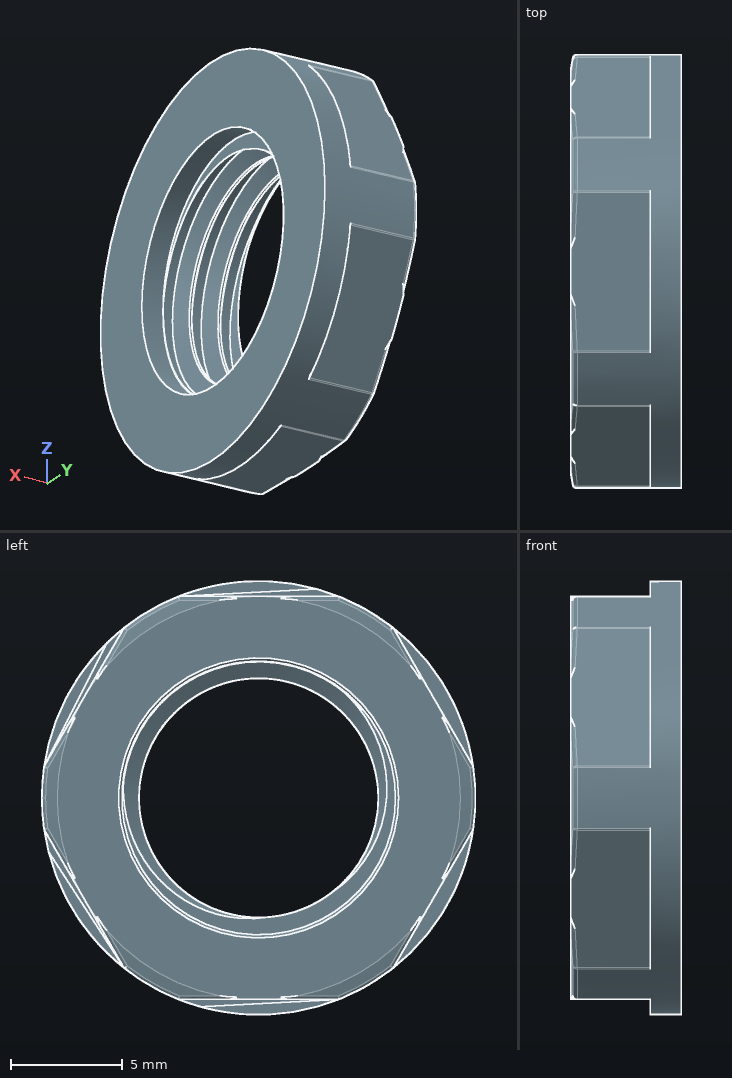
import cadquery as cq
import math

FLANGE_DIAMETER = 19.37
LENGTH = 4.95
FLANGE_THICKNESS = 1.4
BODY_LENGTH = LENGTH - FLANGE_THICKNESS
RADIUS = FLANGE_DIAMETER / 2

FLAT_COUNT = 6
ACROSS_FLATS = 18.0
CONE_ANGLE = 10.0
EDGE_FILLET = 0.2

FADE_START = 1.67
FADE_END = 1.0
FADE_DEPTH = 0.25

LEAD_IN_MOUTH_DIAMETER = 12.5
LEAD_IN_FLOOR_DIAMETER = 12.22
LEAD_IN_DEPTH = 0.15

BORE_SEAM_TURN = 180.0

EXIT_RECESS_DIAMETER = 12.22
EXIT_RECESS_DEPTH = 1.1

THREAD_PITCH = 1.5
THREAD_MINOR_DIAMETER = 10.68
THREAD_MAJOR_DIAMETER = 12.16
THREAD_CREST_WIDTH = 0.14
THREAD_HALF_ANGLE = 30.0
THREAD_START = LEAD_IN_DEPTH - 1.19 * THREAD_PITCH
THREAD_END = LENGTH + THREAD_PITCH
THREAD_START_TURN = 90.0
GROOVE_OVERLAP = 0.05

CONE_SLOPE = math.tan(math.radians(CONE_ANGLE))
CONE_DEPTH = (RADIUS - ACROSS_FLATS / 2) * CONE_SLOPE
CONE_TIP = CONE_DEPTH - RADIUS * CONE_SLOPE


def make_blank():
    """Round bar with a cone that runs on past the end face to its tip."""
    return (
        cq.Workplane("XY")
        .moveTo(CONE_TIP, 0)
        .lineTo(CONE_DEPTH, RADIUS)
        .lineTo(LENGTH, RADIUS)
        .lineTo(LENGTH, 0)
        .close()
        .revolve(360, (0, 0, 0), (1, 0, 0))
    )


def make_flats_cutter():
    """Everything outside the hexagon, from the cone tip back to the flange."""
    across_corners = ACROSS_FLATS / math.cos(math.pi / FLAT_COUNT)
    return (
        cq.Workplane("YZ")
        .workplane(offset=CONE_TIP)
        .circle(FLANGE_DIAMETER)
        .polygon(FLAT_COUNT, across_corners)
        .extrude(BODY_LENGTH - CONE_TIP)
    )


def round_edges(nut):
    """Round the cone's rim and the edges of the flats, leaving the flange sharp."""
    front_zone = cq.selectors.BoxSelector(
        (CONE_TIP, -FLANGE_DIAMETER, -FLANGE_DIAMETER),
        (BODY_LENGTH - EDGE_FILLET, FLANGE_DIAMETER, FLANGE_DIAMETER),
    )
    return nut.edges(front_zone).fillet(EDGE_FILLET)


def make_flat_centres():
    """Wedges at the middle of each flat, where the front edge stays sharp."""
    wedge = (
        cq.Workplane("XY")
        .moveTo(0, -FADE_END)
        .lineTo(FADE_DEPTH, -FADE_START)
        .lineTo(FADE_DEPTH, FADE_START)
        .lineTo(0, FADE_END)
        .close()
        .extrude(RADIUS)
    )
    wedges = wedge
    for index in range(1, FLAT_COUNT):
        turned = wedge.rotate((0, 0, 0), (1, 0, 0), index * 360 / FLAT_COUNT)
        wedges = wedges.union(turned)
    return wedges


def make_outside():
    """Flanged hexagonal nut without its bore, cut off square at the end face."""
    sharp = make_blank().cut(make_flats_cutter())
    sharp_centres = sharp.intersect(make_flat_centres())
    end_cut = cq.Workplane("YZ").circle(FLANGE_DIAMETER).extrude(-FLANGE_DIAMETER)
    return round_edges(sharp).union(sharp_centres).cut(end_cut)


def make_bore():
    """Through bore with a tapered, flat-floored lead-in and an exit recess."""
    minor_radius = THREAD_MINOR_DIAMETER / 2
    exit_radius = EXIT_RECESS_DIAMETER / 2
    exit_start = LENGTH - EXIT_RECESS_DEPTH
    bore = (
        cq.Workplane("XY")
        .moveTo(0, 0)
        .lineTo(0, LEAD_IN_MOUTH_DIAMETER / 2)
        .lineTo(LEAD_IN_DEPTH, LEAD_IN_FLOOR_DIAMETER / 2)
        .lineTo(LEAD_IN_DEPTH, minor_radius)
        .lineTo(exit_start, minor_radius)
        .lineTo(exit_start, exit_radius)
        .lineTo(LENGTH, exit_radius)
        .lineTo(LENGTH, 0)
        .close()
        .revolve(360, (0, 0, 0), (1, 0, 0))
    )
    return bore.rotate((0, 0, 0), (1, 0, 0), BORE_SEAM_TURN)


def make_thread_groove():
    """Trapezoidal groove swept along a helix about Z, then turned onto the X axis."""
    inner_radius = THREAD_MINOR_DIAMETER / 2 - GROOVE_OVERLAP
    outer_radius = THREAD_MAJOR_DIAMETER / 2
    flank_slope = math.tan(math.radians(THREAD_HALF_ANGLE))
    inner_half = (THREAD_PITCH - THREAD_CREST_WIDTH) / 2 + GROOVE_OVERLAP * flank_slope
    outer_half = inner_half - (outer_radius - inner_radius) * flank_slope
    helix = cq.Wire.makeHelix(THREAD_PITCH, THREAD_END - THREAD_START, inner_radius)
    groove = (
        cq.Workplane("XZ")
        .moveTo(inner_radius, -inner_half)
        .lineTo(outer_radius, -outer_half)
        .lineTo(outer_radius, outer_half)
        .lineTo(inner_radius, inner_half)
        .close()
        .sweep(cq.Workplane(obj=helix), isFrenet=True)
    )
    along_x = groove.rotate((0, 0, 0), (0, 1, 0), 90)
    started = along_x.rotate((0, 0, 0), (1, 0, 0), THREAD_START_TURN)
    return started.translate((THREAD_START, 0, 0))


result = make_outside().cut(make_bore()).cut(make_thread_groove())